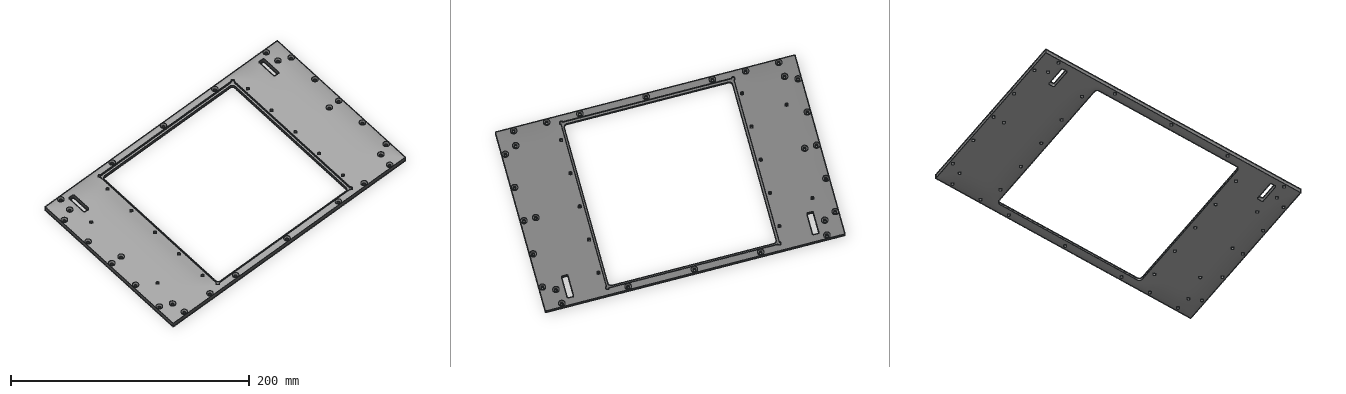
import cadquery as cq
plate_width = 161.8
plate_length = 260.0
plate_thickness = 5.0
top_z = plate_thickness

window_size = 146.0
window_corner_radius = 3.0
rebate_size = 150
rebate_depth = 2.0
corner_relief_diameter = 3.0
corner_relief_inset = 0.55

screw_diameter = 2.53
countersink_diameter = 5.5
countersink_angle = 90.0
end_screw_edge_distance = 3.0
side_screw_edge_distance = 2.9
row_pitch = 30.0
side_screw_spacing = 57.5
extra_side_screw_y = 1.5 * side_screw_spacing
inner_screw_x = 65.0
inner_screw_y = 116.6

plain_hole_diameter = 2.6
window_hole_y = 78.5
lower_holes = [(-43.4, -111.6), (40.8, -111.9)]

slot_length = 19.8
slot_width = 5.5
slot_corner_radius = 1.0
slot_center_x = -64.8
slot_center_y = 106.4

row_x = [i * row_pitch for i in range(-2, 3)]


def make_plate():
    return cq.Workplane("XY").box(plate_width, plate_length, plate_thickness, centered=(True, True, False))


def window_cutter():
    """Through opening with rounded corners, plus the rebate and its corner reliefs."""
    opening = cq.Workplane("XY").rect(window_size, window_size).extrude(plate_thickness)
    opening = opening.edges("|Z").fillet(window_corner_radius)
    floor = cq.Workplane("XY").workplane(offset=top_z - rebate_depth)
    rebate = floor.rect(rebate_size, rebate_size).extrude(rebate_depth)
    relief_spacing = rebate_size - 2 * corner_relief_inset
    reliefs = (
        floor.rect(relief_spacing, relief_spacing, forConstruction=True)
        .vertices()
        .circle(corner_relief_diameter / 2)
        .extrude(rebate_depth)
    )
    return opening.union(rebate).union(reliefs)


def screw_points():
    end_y = plate_length / 2 - end_screw_edge_distance
    side_x = plate_width / 2 - side_screw_edge_distance
    points = []
    for side in (-1, 1):
        points += [(x, side * end_y) for x in row_x]
        points += [(x, side * inner_screw_y) for x in (-inner_screw_x, 0, inner_screw_x)]
        points += [(side * side_x, i * side_screw_spacing) for i in range(-2, 3)]
        points.append((side_x, side * extra_side_screw_y))
    return points


def plain_hole_points():
    beside_window = [(x, side * window_hole_y) for side in (-1, 1) for x in row_x]
    return beside_window + lower_holes


def slot_cutter():
    slots = (
        cq.Workplane("XY")
        .pushPoints([(slot_center_x, side * slot_center_y) for side in (-1, 1)])
        .rect(slot_length, slot_width)
        .extrude(plate_thickness)
    )
    return slots.edges("|Z").fillet(slot_corner_radius)


def drill(body):
    body = (
        body.faces(">Z")
        .workplane(origin=(0, 0, top_z))
        .pushPoints(screw_points())
        .cskHole(screw_diameter, countersink_diameter, countersink_angle)
    )
    return (
        body.faces(">Z")
        .workplane(origin=(0, 0, top_z))
        .pushPoints(plain_hole_points())
        .hole(plain_hole_diameter)
    )


result = drill(make_plate().cut(window_cutter()).cut(slot_cutter()))